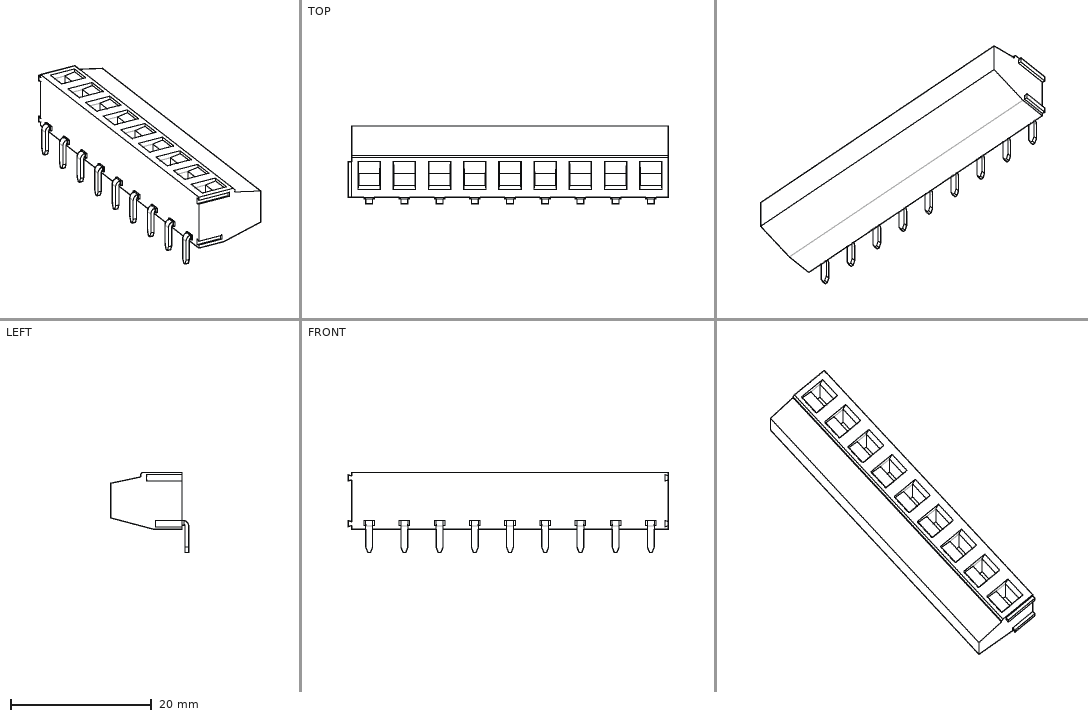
import cadquery as cq
import math


POLES = 9
PITCH = 5.0
LENGTH = POLES * PITCH
HEIGHT = 8.1
DEPTH = 10.15
BACK_TOP_Z = 6.55
BACK_BOTTOM_Z = 1.6
UNDERSIDE_DEPTH = 4.1
LEDGE_DEPTH = 5.9
LEDGE_DROP = 0.65
LEDGE_CHAMFER = 0.27

RIB_REACH = 0.5
RIB_FLARE = 0.15
UPPER_RIB_LENGTH = 5.05
UPPER_RIB_BOTTOM = 6.85
UPPER_RIB_TOP = 7.75
LOWER_RIB_LENGTH = 3.8
LOWER_RIB_BOTTOM = 0.35
LOWER_RIB_TOP = 1.25

POCKET_WIDTH = 3.2
POCKET_FRONT = 1.1
POCKET_BACK = 5.05
POCKET_DEPTH = 6.0
COLLAR_DEPTH = 0.65
COLLAR_TAPER = 0.12
LEAD_IN_RUN = 0.6
LEAD_IN_DEPTH = 0.6
SHELF_EDGE = 3.4
SHELF_DEPTH = 0.42
SHELF_DROP = 0.22

PIN_WIDTH = 1.0
PIN_THICKNESS = 0.55
PIN_FRONT = -0.95
PIN_TOP = 1.25
PIN_TIP = -3.3
PIN_TIP_WIDTH = 0.4
PIN_TAPER_LENGTH = 0.75
BEND_RADIUS = 0.8
PIN_EMBED = 0.5
COLLET_WIDTH = 1.5
COLLET_REACH = 0.24
COLLET_HEIGHT = 0.68


def extrude_along_x(sketch, start, length):
    """Extrude a closed YZ outline over a stretch of X."""
    return sketch.extrude(length).translate((start, 0, 0))


def make_housing():
    outline = cq.Workplane("YZ").polyline([
        (0, 0),
        (UNDERSIDE_DEPTH, 0),
        (DEPTH, BACK_BOTTOM_Z),
        (DEPTH, BACK_TOP_Z),
        (LEDGE_DEPTH, HEIGHT - LEDGE_DROP),
        (LEDGE_DEPTH, HEIGHT - LEDGE_CHAMFER),
        (LEDGE_DEPTH - LEDGE_CHAMFER, HEIGHT),
        (0, HEIGHT),
    ]).close()
    return extrude_along_x(outline, 0, LENGTH)


def make_dovetail(root_x, bottom, top, length):
    """Dovetail bar whose narrow root lies at root_x and whose crest points to -X."""
    crest_x = root_x - RIB_REACH
    outline = cq.Workplane("XZ").polyline([
        (root_x, bottom + RIB_FLARE),
        (crest_x, bottom),
        (crest_x, top),
        (root_x, top - RIB_FLARE),
    ]).close()
    return outline.extrude(-length)


def make_end_dovetails(root_x):
    upper = make_dovetail(root_x, UPPER_RIB_BOTTOM, UPPER_RIB_TOP, UPPER_RIB_LENGTH)
    lower = make_dovetail(root_x, LOWER_RIB_BOTTOM, LOWER_RIB_TOP, LOWER_RIB_LENGTH)
    return upper.union(lower)


def make_pocket(center_x):
    """Pocket volume: a side profile trimmed to a collar-and-shaft front profile."""
    well_front = POCKET_FRONT + LEAD_IN_RUN
    floor_z = HEIGHT - POCKET_DEPTH
    side_profile = cq.Workplane("YZ").polyline([
        (POCKET_FRONT, HEIGHT),
        (well_front, HEIGHT - LEAD_IN_DEPTH),
        (well_front, floor_z),
        (SHELF_EDGE, floor_z),
        (SHELF_EDGE, HEIGHT - SHELF_DEPTH - SHELF_DROP),
        (POCKET_BACK, HEIGHT - SHELF_DEPTH),
        (POCKET_BACK, HEIGHT),
    ]).close()
    half_top = POCKET_WIDTH / 2
    half_well = half_top - COLLAR_TAPER
    front_profile = cq.Workplane("XZ").polyline([
        (center_x - half_top, HEIGHT),
        (center_x - half_well, HEIGHT - COLLAR_DEPTH),
        (center_x - half_well, floor_z),
        (center_x + half_well, floor_z),
        (center_x + half_well, HEIGHT - COLLAR_DEPTH),
        (center_x + half_top, HEIGHT),
    ]).close().extrude(-DEPTH)
    return extrude_along_x(side_profile, center_x - half_top, POCKET_WIDTH).intersect(front_profile)


def make_pin(center_x):
    """Flat pin leaving the front face, bent down and narrowed at its tip."""
    pin_back = PIN_FRONT + PIN_THICKNESS
    bend_y = PIN_FRONT + BEND_RADIUS
    bend_z = PIN_TOP - BEND_RADIUS
    inner_radius = BEND_RADIUS - PIN_THICKNESS
    diagonal = math.sqrt(0.5)
    side_profile = (
        cq.Workplane("YZ")
        .moveTo(PIN_EMBED, PIN_TOP)
        .lineTo(bend_y, PIN_TOP)
        .threePointArc(
            (bend_y - BEND_RADIUS * diagonal, bend_z + BEND_RADIUS * diagonal),
            (PIN_FRONT, bend_z),
        )
        .lineTo(PIN_FRONT, PIN_TIP)
        .lineTo(pin_back, PIN_TIP)
        .lineTo(pin_back, bend_z)
        .threePointArc(
            (bend_y - inner_radius * diagonal, bend_z + inner_radius * diagonal),
            (bend_y, PIN_TOP - PIN_THICKNESS),
        )
        .lineTo(PIN_EMBED, PIN_TOP - PIN_THICKNESS)
        .close()
    )
    bent_strip = extrude_along_x(side_profile, center_x - PIN_WIDTH / 2, PIN_WIDTH)
    half_width = PIN_WIDTH / 2
    half_tip = PIN_TIP_WIDTH / 2
    taper_z = PIN_TIP + PIN_TAPER_LENGTH
    front_profile = (
        cq.Workplane("XZ", origin=(0, PIN_EMBED, 0))
        .polyline([
            (center_x - half_width, PIN_TOP),
            (center_x - half_width, taper_z),
            (center_x - half_tip, PIN_TIP),
            (center_x + half_tip, PIN_TIP),
            (center_x + half_width, taper_z),
            (center_x + half_width, PIN_TOP),
        ])
        .close()
        .extrude(PIN_EMBED - PIN_FRONT)
    )
    return bent_strip.intersect(front_profile)


def make_collet(center_x):
    """Small block on the front face, around the root of a pin."""
    return cq.Workplane("XY").box(
        COLLET_WIDTH, COLLET_REACH, COLLET_HEIGHT
    ).translate((center_x, -COLLET_REACH / 2, PIN_TOP - COLLET_HEIGHT / 2))


result = make_housing().union(make_end_dovetails(0)).cut(make_end_dovetails(LENGTH))
for pole in range(POLES):
    pole_x = (pole + 0.5) * PITCH
    result = result.cut(make_pocket(pole_x)).union(make_collet(pole_x)).union(make_pin(pole_x))